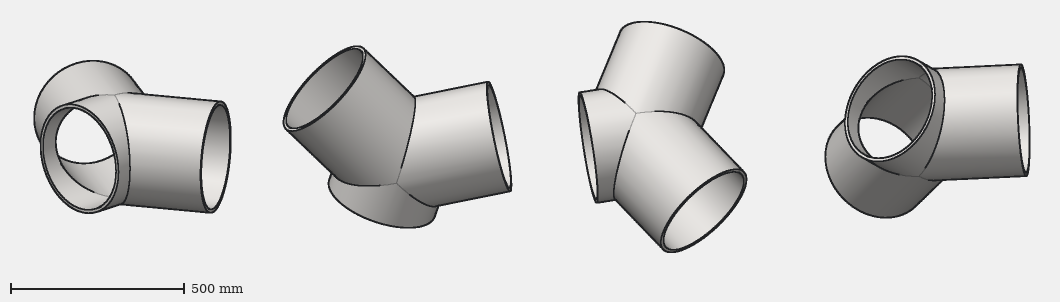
import cadquery as cq
import math

OUTER_DIAMETER = 323.85
BORE_DIAMETER = 303.23
BRANCH_LENGTH = 304.8
INLET_LENGTH = 139.7

INLET_ANGLE = -90.0
BRANCH_SPACING = 120.0

PIPES = [
    (INLET_ANGLE, INLET_LENGTH),
    (INLET_ANGLE + BRANCH_SPACING, BRANCH_LENGTH),
    (INLET_ANGLE - BRANCH_SPACING, BRANCH_LENGTH),
]


def mitre_wedge(length):
    """Triangular prism around +X whose two sloped sides are the mitre planes."""
    half_width = length * math.tan(math.radians(BRANCH_SPACING / 2))
    return (
        cq.Workplane("XY")
        .polyline([(0, 0), (length, -half_width), (length, half_width)])
        .close()
        .extrude(OUTER_DIAMETER, both=True)
    )


def mitred_pipe(angle, length):
    """Pipe from the origin along a direction in the XY plane, mitred at its inner end."""
    tube = (
        cq.Workplane("YZ")
        .circle(OUTER_DIAMETER / 2)
        .circle(BORE_DIAMETER / 2)
        .extrude(length)
    )
    return tube.intersect(mitre_wedge(length)).rotate((0, 0, 0), (0, 0, 1), angle)


def three_way_fitting():
    """Pipes joined along their shared mitre planes."""
    fitting = cq.Workplane("XY")
    for angle, length in PIPES:
        fitting = fitting.union(mitred_pipe(angle, length))
    return fitting


result = three_way_fitting()